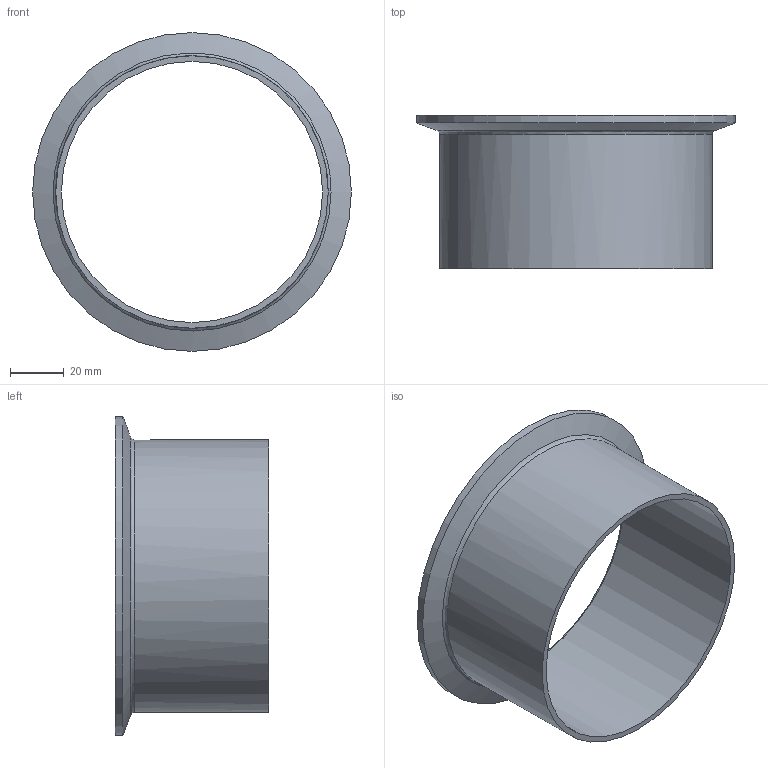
import cadquery as cq
import math

SELECTION_TOLERANCE = 0.01

flange_diameter = 118.92
tube_outer_diameter = 101.6
tube_inner_diameter = 97.38
overall_length = 57.2
rim_thickness = 2.85
taper_angle = 20.0
root_fillet_radius = 1.6
mouth_radius = 0.79

flange_radius = flange_diameter / 2
outer_radius = tube_outer_diameter / 2
inner_radius = tube_inner_diameter / 2

face_y = 0.0
free_end_y = face_y - overall_length
rim_y = face_y - rim_thickness
taper_depth = (flange_radius - outer_radius) * math.tan(math.radians(taper_angle))
root_y = rim_y - taper_depth


def ferrule_body():
    """Half section in the XY plane, revolved about the Y axis."""
    section = [
        (inner_radius, free_end_y),
        (outer_radius, free_end_y),
        (outer_radius, root_y),
        (flange_radius, rim_y),
        (flange_radius, face_y),
        (inner_radius, face_y),
    ]
    return cq.Workplane("XY").polyline(section).close().revolve(360, (0, 0, 0), (0, 1, 0))


def circular_edge_at(radius, y):
    """Selector for edges lying within the given radius of the Y axis, at the given Y."""
    reach = radius + SELECTION_TOLERANCE
    return cq.selectors.BoxSelector(
        (-reach, y - SELECTION_TOLERANCE, -reach),
        (reach, y + SELECTION_TOLERANCE, reach),
        boundingbox=True,
    )


def blend_root(body):
    """Round the inner corner where the conical face meets the tube."""
    return body.edges(circular_edge_at(outer_radius, root_y)).fillet(root_fillet_radius)


def round_mouth(body):
    """Round the edge where the bore opens through the flange face."""
    return body.edges(circular_edge_at(inner_radius, face_y)).fillet(mouth_radius)


result = round_mouth(blend_root(ferrule_body()))